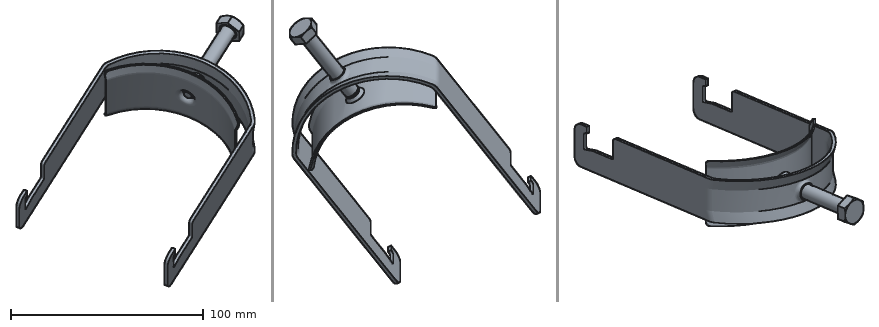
import cadquery as cq
import math


overall_length = 163.9

strap_width = 88.0
strap_height = 24.3
strap_thickness = 2.0
strap_arc_radius = 50.2
strap_band_height = 12.5
strap_rim_rise = 2.1
leg_end_y = -75.9
strap_bend_radius = 7.0

hook_corner_radius = 4.9
hook_lip_y = leg_end_y + 9.2
hook_wall_y = leg_end_y + 7.0
hook_lip_bottom_z = 8.2
hook_lip_fillet = 1.5
notch_start_y = leg_end_y + 28.8
notch_floor_z = -0.2
notch_ramp_start_y = leg_end_y + 14.3
notch_ramp_end_z = -1.5
notch_fillet = 0.8
notch_corner_fillet = 1.8

saddle_rim_radius = 50.0
saddle_rim_rise = 2.0
saddle_thickness = 1.0
saddle_height = 37.0
saddle_band_height = 28.2
saddle_bend_radius = 2.5
saddle_corner_radius = 2.3
saddle_half_angle = 52.5
saddle_apex_y = 37.0
saddle_center_y = saddle_apex_y - saddle_rim_radius
saddle_band_radius = saddle_rim_radius - saddle_rim_rise

bolt_diameter = 8.2
bolt_top_y = leg_end_y + overall_length
head_height = 5.5
head_across_flats = 13.3
head_chamfer_angle = 30.0
relief_diameter = 9.8
relief_depth = 0.5
shoulder_y = 38.2
tip_base_diameter = 6.9
tip_end_diameter = 4.6
tip_length = 2.5

strap_collar_diameter = 9.3
strap_collar_fillet = 1.8
saddle_hole_mouth_diameter = 9.8
saddle_hole_tip_diameter = 6.5
saddle_hole_fillet = 2.3
saddle_collar_wall = 0.8


def y_cylinder(diameter, y_start, y_end):
    """Cylinder on the bolt axis, running from y_start to y_end."""
    return cq.Workplane("XZ", origin=(0, y_start, 0)).circle(diameter / 2).extrude(y_start - y_end)


def y_cone(start_diameter, end_diameter, y_start, y_end):
    """Truncated cone on the bolt axis, tapering from y_start to y_end."""
    cone = cq.Solid.makeCone(
        start_diameter / 2, end_diameter / 2, y_end - y_start, cq.Vector(0, y_start, 0), cq.Vector(0, 1, 0)
    )
    return cq.Workplane(cone)


def strap_arch(half_width, arc_radius, end_y):
    """Solid arch of the middle band's height: straight legs, rounded bends and an arc."""
    spring_y = math.sqrt(arc_radius**2 - half_width**2)
    return (
        cq.Workplane("XY", origin=(0, 0, -strap_band_height / 2))
        .moveTo(-half_width, end_y)
        .lineTo(-half_width, spring_y)
        .threePointArc((0, arc_radius), (half_width, spring_y))
        .lineTo(half_width, end_y)
        .close()
        .extrude(strap_band_height)
        .edges("|Z")
        .edges(">Y")
        .fillet(strap_bend_radius)
    )


def leg_side_profile():
    """Side outline of the strap in the YZ plane, with the hook notch, as a solid along X."""
    half_height = strap_height / 2
    past_rim_y = strap_arc_radius + 2 * strap_rim_rise
    outline = [
        (past_rim_y, -half_height),
        (leg_end_y, -half_height),
        (leg_end_y, half_height),
        (hook_lip_y, half_height),
        (hook_lip_y, hook_lip_bottom_z),
        (hook_wall_y, hook_lip_bottom_z),
        (hook_wall_y, notch_ramp_end_z),
        (notch_ramp_start_y, notch_floor_z),
        (notch_start_y, notch_floor_z),
        (notch_start_y, half_height),
        (past_rim_y, half_height),
    ]
    profile = cq.Workplane("YZ").polyline(outline).close().extrude(strap_width / 2, both=True)
    rounded_corners = [
        (leg_end_y, -half_height, hook_corner_radius),
        (leg_end_y, half_height, hook_corner_radius),
        (hook_wall_y, hook_lip_bottom_z, hook_lip_fillet),
        (hook_wall_y, notch_ramp_end_z, notch_fillet),
        (notch_start_y, notch_floor_z, notch_fillet),
        (notch_start_y, half_height, notch_corner_fillet),
    ]
    for y, z, radius in rounded_corners:
        profile = profile.edges(cq.NearestToPointSelector((0, y, z))).fillet(radius)
    return profile


def make_strap():
    rough_end_y = leg_end_y - 2 * strap_rim_rise
    half_width = strap_width / 2
    outer = strap_arch(half_width, strap_arc_radius, rough_end_y)
    inner = strap_arch(half_width - strap_thickness, strap_arc_radius - strap_thickness, rough_end_y)
    band = outer.cut(inner)

    rim_height = (strap_height - strap_band_height) / 2
    strap = band
    for side, direction in ((">Z", 1), ("<Z", -1)):
        rim_face = band.faces(side).val()
        rim_sweep = cq.Vector(0, strap_rim_rise, direction * rim_height)
        strap = strap.union(cq.Workplane(cq.Solid.extrudeLinear(rim_face, rim_sweep)))
    strap = strap.intersect(leg_side_profile())

    mid_wall_y = strap_arc_radius - strap_thickness / 2
    collar_top_y = strap_arc_radius + strap_rim_rise
    strap = strap.union(y_cylinder(strap_collar_diameter, mid_wall_y, collar_top_y))
    collar_root = cq.NearestToPointSelector((0, strap_arc_radius, 0))
    strap = strap.edges(collar_root).fillet(strap_collar_fillet)
    return strap.cut(y_cylinder(bolt_diameter, 0, collar_top_y))


def make_saddle():
    half_height = saddle_height / 2
    half_band = saddle_band_height / 2
    outer_side = [
        (saddle_rim_radius, -half_height),
        (saddle_band_radius, -half_band),
        (saddle_band_radius, half_band),
        (saddle_rim_radius, half_height),
    ]
    inner_side = [(radius - saddle_thickness, z) for radius, z in reversed(outer_side)]
    saddle = (
        cq.Workplane("XZ")
        .polyline(outer_side + inner_side)
        .close()
        .revolve(2 * saddle_half_angle, (0, 0, 0), (0, 1, 0))
        .rotate((0, 0, 0), (0, 0, 1), 90 - saddle_half_angle)
    )
    for z in (-half_band, half_band):
        bend_box = cq.selectors.BoxSelector(
            (-saddle_rim_radius, 0, z - saddle_thickness),
            (saddle_rim_radius, saddle_rim_radius, z + saddle_thickness),
        )
        saddle = saddle.edges(bend_box).fillet(saddle_bend_radius)

    end_angle = math.radians(saddle_half_angle)
    mid_rim_radius = saddle_rim_radius - saddle_thickness / 2
    for side in (-1, 1):
        for z in (-half_height, half_height):
            corner = (side * mid_rim_radius * math.sin(end_angle), mid_rim_radius * math.cos(end_angle), z)
            saddle = saddle.edges(cq.NearestToPointSelector(corner)).fillet(saddle_corner_radius)

    saddle = saddle.translate((0, saddle_center_y, 0))
    band_inner_y = saddle_apex_y - saddle_rim_rise - saddle_thickness
    collar = y_cone(
        saddle_hole_mouth_diameter + 2 * saddle_collar_wall,
        saddle_hole_tip_diameter + 2 * saddle_collar_wall,
        band_inner_y + saddle_thickness / 2,
        saddle_apex_y,
    )
    collar_depth = saddle_apex_y - band_inner_y
    taper = saddle_hole_mouth_diameter - saddle_hole_tip_diameter
    hole = y_cone(
        saddle_hole_mouth_diameter + taper,
        saddle_hole_tip_diameter,
        band_inner_y - collar_depth,
        saddle_apex_y,
    )
    saddle = saddle.union(collar).cut(hole)
    hole_mouth = cq.NearestToPointSelector((0, band_inner_y, 0))
    return saddle.edges(hole_mouth).fillet(saddle_hole_fillet)


def make_bolt():
    head_bottom_y = bolt_top_y - head_height
    across_corners = head_across_flats / math.cos(math.pi / 6)
    head = (
        cq.Workplane("XZ", origin=(0, head_bottom_y, 0))
        .transformed(rotate=(0, 0, 90))
        .polygon(6, across_corners)
        .extrude(-head_height)
    )
    corner_radius = across_corners / 2
    flat_radius = head_across_flats / 2
    chamfer_drop = (corner_radius - flat_radius) * math.tan(math.radians(head_chamfer_angle))
    blank = (
        cq.Workplane("XY")
        .polyline([
            (0, head_bottom_y),
            (corner_radius, head_bottom_y),
            (corner_radius, bolt_top_y - chamfer_drop),
            (flat_radius, bolt_top_y),
            (0, bolt_top_y),
        ])
        .close()
        .revolve(360, (0, 0, 0), (0, 1, 0))
    )
    shank = (
        cq.Workplane("XY")
        .polyline([
            (0, shoulder_y - tip_length),
            (tip_end_diameter / 2, shoulder_y - tip_length),
            (tip_base_diameter / 2, shoulder_y),
            (bolt_diameter / 2, shoulder_y),
            (bolt_diameter / 2, head_bottom_y + relief_depth),
            (0, head_bottom_y + relief_depth),
        ])
        .close()
        .revolve(360, (0, 0, 0), (0, 1, 0))
    )
    relief = y_cylinder(relief_diameter, head_bottom_y, head_bottom_y + relief_depth)
    return head.intersect(blank).cut(relief).union(shank)


strap = make_strap()
saddle = make_saddle()
bolt = make_bolt()
result = cq.Compound.makeCompound([strap.solids().val(), saddle.solids().val(), bolt.solids().val()])